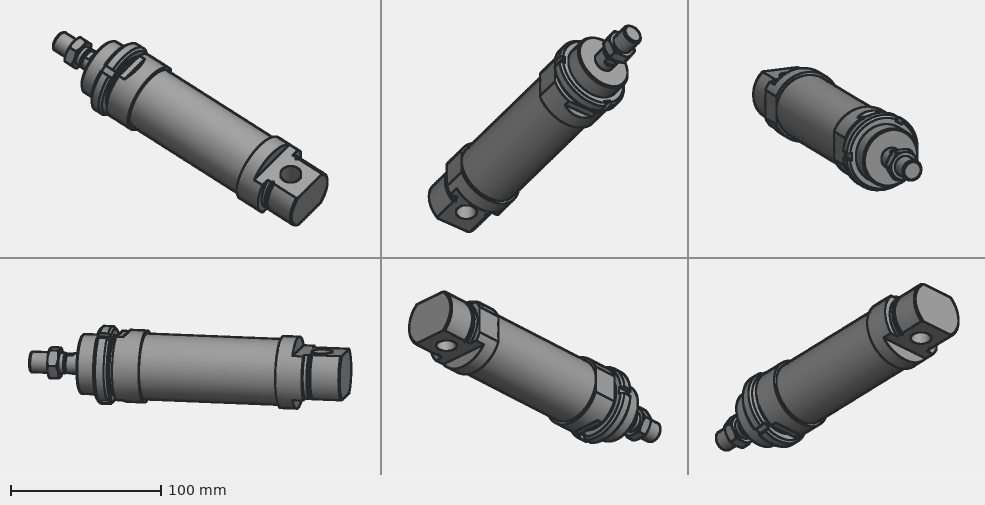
import cadquery as cq
import math


total_length = 214.0
rod_nut_start = 13.0
rod_groove_start = 23.3
head_start = 34.9
ring_nut_start = 47.3
flange_start = 60.1
tube_start = 78.1
rear_cap_start = 171.0
tang_start = 189.0

rod_radius = 14.0 / 2
rod_neck_radius = 12.0 / 2
rod_chamfer = rod_radius - rod_neck_radius
rod_groove_width = 1.5
rod_flat_length = 3.9

rod_nut_width = 7.0
rod_nut_across_flats = 19.0
rod_nut_face_radius = 19.3 / 2
rod_nut_chamfer_angle = math.radians(30)

collar_radius = 40.0 / 2
collar_root_radius = 38.3 / 2
collar_chamfer = collar_radius - collar_root_radius
relief_offset = 2.5
relief_width = 2.5

ring_nut_radius = 52.0 / 2
ring_nut_width = 9.2
ring_nut_chamfer = 1.7
ring_slot_count = 3
ring_slot_width = 5.0
ring_slot_floor = 22.7

tube_radius = 44.0 / 2
flange_radius = 48.2 / 2
flange_side_flat = tube_radius
wrench_flat_height = 43.0 / 2
wrench_flat_length = 4.7

tang_thickness = 30.0
tang_flat_start = 181.7
pivot_hole_radius = 14.0 / 2
pivot_hole_x = 198.0


def revolve_profile(points):
    """Turn an (X, radius) outline about the X axis."""
    return cq.Workplane("XY").polyline(points).close().revolve(360, (0, 0, 0), (1, 0, 0))


def cut_sloped_flats(body, start, length, height, outer_radius):
    """Cut flats at Z = +height and -height that run out at 45 degrees."""
    overshoot = 2.1
    rise = outer_radius + overshoot - height
    cutter = (
        cq.Workplane("XZ")
        .moveTo(start, height)
        .lineTo(start + length, height)
        .lineTo(start + length + rise, height + rise)
        .lineTo(start, height + rise)
        .close()
        .extrude(outer_radius, both=True)
    )
    return body.cut(cutter).cut(cutter.mirror("XY"))


def relief_groove(start):
    """Ring-shaped cutter for the relief groove, with 45 degree side walls."""
    end = start + relief_width
    depth = collar_radius - collar_root_radius
    overshoot = 1.0
    return revolve_profile([
        (start, collar_radius),
        (start + depth, collar_root_radius),
        (end - depth, collar_root_radius),
        (end, collar_radius),
        (end, collar_radius + overshoot),
        (start, collar_radius + overshoot),
    ])


def cut_side_flat(body, start, end):
    """Trim a flange level with the tube on its +Y side."""
    depth = flange_radius - flange_side_flat
    cutter = cq.Workplane("XY").box(
        end - start, depth, 2 * flange_radius, centered=(False, False, True)
    )
    return body.cut(cutter.translate((start, flange_side_flat, 0)))


def make_rod():
    groove_end = rod_groove_start + rod_groove_width
    rod = revolve_profile([
        (0, 0),
        (0, rod_neck_radius),
        (rod_chamfer, rod_radius),
        (rod_groove_start, rod_radius),
        (rod_groove_start, rod_neck_radius),
        (groove_end, rod_neck_radius),
        (groove_end, rod_radius),
        (head_start, rod_radius),
        (head_start, 0),
    ])
    return cut_sloped_flats(rod, groove_end, rod_flat_length, rod_neck_radius, rod_radius)


def make_rod_nut():
    corner_radius = rod_nut_across_flats / 2 / math.cos(math.radians(30))
    chamfer_width = (corner_radius - rod_nut_face_radius) * math.tan(rod_nut_chamfer_angle)
    end = rod_nut_start + rod_nut_width
    hexagon = (
        cq.Workplane("YZ", origin=(rod_nut_start, 0, 0))
        .polygon(6, 2 * corner_radius)
        .circle(rod_radius)
        .extrude(rod_nut_width)
    )
    chamfer_envelope = revolve_profile([
        (rod_nut_start, 0),
        (rod_nut_start, rod_nut_face_radius),
        (rod_nut_start + chamfer_width, corner_radius),
        (end - chamfer_width, corner_radius),
        (end, rod_nut_face_radius),
        (end, 0),
    ])
    return hexagon.intersect(chamfer_envelope)


def make_head():
    head = revolve_profile([
        (head_start, 0),
        (head_start, collar_radius - collar_chamfer),
        (head_start + collar_chamfer, collar_radius),
        (flange_start, collar_radius),
        (flange_start, flange_radius),
        (tube_start, flange_radius),
        (tube_start, 0),
    ])
    head = head.cut(relief_groove(flange_start - relief_offset - relief_width))
    head = cut_sloped_flats(
        head, flange_start, wrench_flat_length, wrench_flat_height, flange_radius
    )
    return cut_side_flat(head, flange_start, tube_start)


def make_ring_nut():
    end = ring_nut_start + ring_nut_width
    face_radius = ring_nut_radius - ring_nut_chamfer
    ring = revolve_profile([
        (ring_nut_start, collar_radius),
        (ring_nut_start, face_radius),
        (ring_nut_start + ring_nut_chamfer, ring_nut_radius),
        (end - ring_nut_chamfer, ring_nut_radius),
        (end, face_radius),
        (end, collar_radius),
    ])
    slot = cq.Workplane("XY").box(
        ring_nut_width, ring_nut_radius, ring_slot_width, centered=(False, False, True)
    ).translate((ring_nut_start, ring_slot_floor, 0))
    for index in range(ring_slot_count):
        angle = index * 360 / ring_slot_count
        ring = ring.cut(slot.rotate((0, 0, 0), (1, 0, 0), angle))
    return ring


def make_tube():
    return (
        cq.Workplane("YZ", origin=(tube_start, 0, 0))
        .circle(tube_radius)
        .extrude(rear_cap_start - tube_start)
    )


def make_rear_cap():
    cap = revolve_profile([
        (rear_cap_start, 0),
        (rear_cap_start, flange_radius),
        (tang_start, flange_radius),
        (tang_start, collar_radius),
        (total_length - collar_chamfer, collar_radius),
        (total_length, collar_radius - collar_chamfer),
        (total_length, 0),
    ])
    cap = cap.cut(relief_groove(tang_start + relief_offset))
    cap = cut_side_flat(cap, rear_cap_start, tang_start)

    flat_cutter = cq.Workplane("XY").box(
        total_length - tang_flat_start, 2 * flange_radius, flange_radius,
        centered=(False, True, False),
    ).translate((tang_flat_start, 0, tang_thickness / 2))
    cap = cap.cut(flat_cutter).cut(flat_cutter.mirror("XY"))

    pivot_hole = (
        cq.Workplane("XY")
        .center(pivot_hole_x, 0)
        .circle(pivot_hole_radius)
        .extrude(tang_thickness, both=True)
    )
    return cap.cut(pivot_hole)


rod = make_rod()
rod_nut = make_rod_nut()
head = make_head()
ring_nut = make_ring_nut()
tube = make_tube()
rear_cap = make_rear_cap()

result = cq.Compound.makeCompound([
    rod.val(),
    rod_nut.val(),
    head.val(),
    ring_nut.val(),
    tube.val(),
    rear_cap.val(),
])